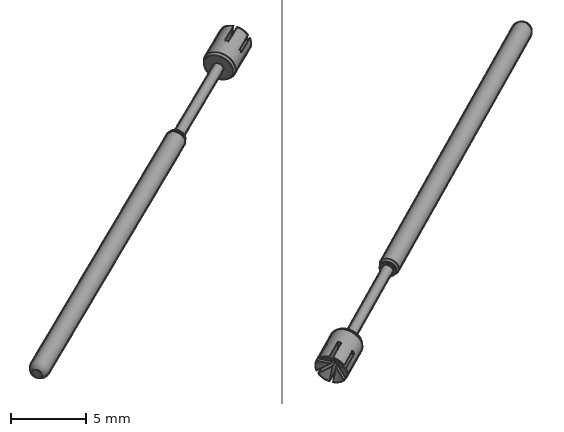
import cadquery as cq
import math

length = 35.3

barrel_radius = 1.38 / 2
tip_flat_radius = 0.35
barrel_length = 24.7

rim_radius = 1.15 / 2
rim_height = 0.32
rim_band = 0.15

shaft_radius = 0.75 / 2
neck_radius = 0.8 / 2
neck_height = 0.32
neck_taper = 0.2

head_radius = 2.3 / 2
head_length = 3.0
head_chamfer_width = 0.1
head_chamfer_height = 0.2
cup_half_angle = 60.0

slot_width = 0.25
slot_depth = 1.52
slot_cuts = 3
slot_pitch = 180 / slot_cuts

tip_height = math.sqrt(barrel_radius**2 - tip_flat_radius**2)
rim_top = barrel_length + rim_height
neck_top = rim_top + neck_height
shaft_start = neck_top + neck_taper
head_start = length - head_length


def revolve_about_y(outline):
    return outline.close().revolve(360, (0, 0, 0), (0, 1, 0))


def barrel():
    nose_mid_angle = math.acos(tip_flat_radius / barrel_radius) / 2
    nose_mid = (
        barrel_radius * math.cos(nose_mid_angle),
        tip_height - barrel_radius * math.sin(nose_mid_angle),
    )
    outline = (
        cq.Workplane("XY")
        .lineTo(tip_flat_radius, 0)
        .threePointArc(nose_mid, (barrel_radius, tip_height))
        .lineTo(barrel_radius, barrel_length)
        .lineTo(rim_radius, rim_top - rim_band)
        .lineTo(rim_radius, rim_top)
        .lineTo(0, rim_top)
    )
    return revolve_about_y(outline)


def plunger():
    cup_depth = head_radius / math.tan(math.radians(cup_half_angle))
    outline = (
        cq.Workplane("XY")
        .moveTo(0, barrel_length)
        .lineTo(neck_radius, barrel_length)
        .lineTo(neck_radius, neck_top)
        .lineTo(shaft_radius, shaft_start)
        .lineTo(shaft_radius, head_start)
        .lineTo(head_radius - head_chamfer_width, head_start)
        .lineTo(head_radius, head_start + head_chamfer_height)
        .lineTo(head_radius, length)
        .lineTo(0, length - cup_depth)
    )
    return revolve_about_y(outline)


def head_slots():
    blade = cq.Workplane("XY").box(slot_width, slot_depth, 2 * head_radius + slot_width)
    blade = blade.translate((0, length - slot_depth / 2, 0))
    slots = blade
    for index in range(1, slot_cuts):
        slots = slots.union(blade.rotate((0, 0, 0), (0, 1, 0), index * slot_pitch))
    return slots


result = barrel().union(plunger()).cut(head_slots())